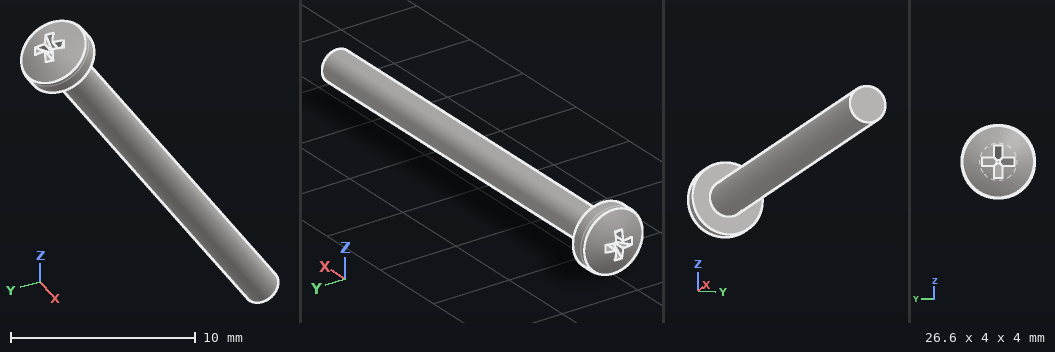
import cadquery as cq
import math

total_length = 26.58
head_radius = 2.0
head_height = 1.57
shank_radius = 1.0
dome_rim_radius = 1.95
dome_rim_x = 0.58
rim_round_end_x = 0.82
recess_width = 0.45
recess_rim_half_span = 0.88
recess_floor_half_span = 0.1
recess_depth = 1.2
mouth_x = -0.27

corner_radius = recess_width / math.sqrt(2)
dome_center_x = (dome_rim_x**2 + dome_rim_radius**2 - corner_radius**2) / (2 * dome_rim_x)
dome_radius = math.hypot(dome_center_x, corner_radius)
dome_apex_x = dome_center_x - dome_radius


def dome_x(radius):
    """Axial position of the dome surface at a distance from the axis."""
    return dome_center_x - math.sqrt(dome_radius**2 - radius**2)


def rim_round_middle():
    """Middle of the rim round, which runs tangentially into the head's side."""
    length = rim_round_end_x - dome_rim_x
    rise = head_radius - dome_rim_radius
    round_radius = (length**2 + rise**2) / (2 * rise)
    half_angle = math.asin(length / round_radius) / 2
    middle_x = rim_round_end_x - round_radius * math.sin(half_angle)
    middle_radius = head_radius - round_radius * (1 - math.cos(half_angle))
    return middle_x, middle_radius


def make_body():
    """Domed head and plain shank, revolved about the X axis."""
    dome_mid_radius = dome_rim_radius / 2
    profile = (
        cq.Workplane("XY")
        .moveTo(dome_apex_x, 0)
        .threePointArc((dome_x(dome_mid_radius), dome_mid_radius), (dome_rim_x, dome_rim_radius))
        .threePointArc(rim_round_middle(), (rim_round_end_x, head_radius))
        .lineTo(head_height, head_radius)
        .lineTo(head_height, shank_radius)
        .lineTo(total_length, shank_radius)
        .lineTo(total_length, 0)
        .close()
    )
    return profile.revolve(360, (0, 0, 0), (1, 0, 0))


def make_recess():
    """Cross with parallel wings, narrowed by a square taper to a small floor."""
    rim_x = dome_x(recess_rim_half_span)
    slope = (recess_rim_half_span - recess_floor_half_span) / (recess_depth - rim_x)
    mouth_span = 2 * (recess_rim_half_span + slope * (rim_x - mouth_x))
    floor_span = 2 * recess_floor_half_span
    cutter_length = recess_depth - mouth_x
    mouth_plane = cq.Workplane("YZ", origin=(mouth_x, 0, 0))
    taper = (
        mouth_plane.rect(mouth_span, mouth_span)
        .workplane(offset=cutter_length)
        .rect(floor_span, floor_span)
        .loft(ruled=True)
    )
    wings_along_y = mouth_plane.rect(mouth_span, recess_width).extrude(cutter_length)
    wings_along_z = mouth_plane.rect(recess_width, mouth_span).extrude(cutter_length)
    return taper.intersect(wings_along_y.union(wings_along_z))


result = make_body().cut(make_recess())